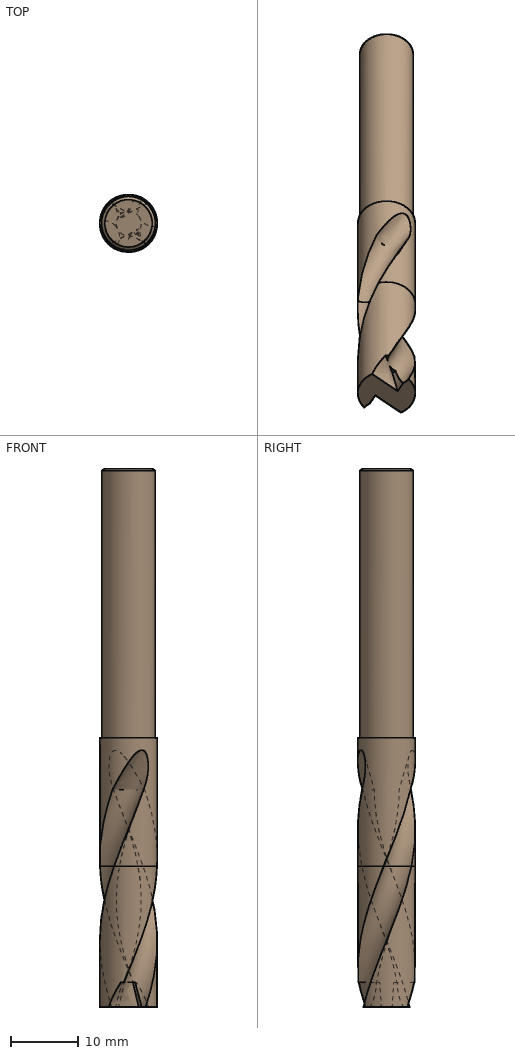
import cadquery as cq
import math

TOTAL_LENGTH = 80.0
SHANK_DIAMETER = 8.0
CUTTER_DIAMETER = 8.6
NECK_TOP = 40.0
HEAD_LENGTH = 21.0
CHAMFER_RADIAL = 0.5
CHAMFER_HEIGHT = 0.3

FLUTE_COUNT = 2
FLUTE_RADIUS = 2.4
FLUTE_CENTRE_RADIUS = 4.2
FLUTE_LEAD = 66.4
FLUTE_TOP = 32.3
FLUTE_TOP_ANGLE = -91.0
RUNOUT_HEIGHT = 7.2
RUNOUT_SHIFT = 3.9
RUNOUT_RISE = 2.0

GASH_BOTTOM = [(-4.4, -3.8), (1.5, -0.8), (2.4, -4.3)]
GASH_TOP = [(-1.5, -4.8), (0.6, -1.0), (3.4, -5.1)]
GASH_HEIGHT = 3.7

FLUTE_TWIST = 360.0 * FLUTE_TOP / FLUTE_LEAD


def cylinder(diameter, bottom, top):
    return cq.Workplane("XY").workplane(offset=bottom).circle(diameter / 2).extrude(top - bottom)


def polar(radius, angle):
    return (radius * math.cos(math.radians(angle)), radius * math.sin(math.radians(angle)))


def helical_flute():
    start = polar(FLUTE_CENTRE_RADIUS, FLUTE_TOP_ANGLE - FLUTE_TWIST)
    section = cq.Workplane("XY").moveTo(*start).circle(FLUTE_RADIUS)
    return section.twistExtrude(FLUTE_TOP, FLUTE_TWIST)


def flute_runout():
    """Straight continuation of the flute, leaning the way the helix turns and rising out of the body."""
    start_x, start_y = polar(FLUTE_CENTRE_RADIUS, FLUTE_TOP_ANGLE)
    tangent_x, tangent_y = polar(RUNOUT_SHIFT, FLUTE_TOP_ANGLE + 90)
    outward_x, outward_y = polar(RUNOUT_RISE, FLUTE_TOP_ANGLE)
    return (
        cq.Workplane("XY").workplane(offset=FLUTE_TOP)
        .moveTo(start_x, start_y).circle(FLUTE_RADIUS)
        .workplane(offset=RUNOUT_HEIGHT)
        .moveTo(start_x + tangent_x + outward_x, start_y + tangent_y + outward_y)
        .circle(FLUTE_RADIUS)
        .loft(ruled=True)
    )


def end_gash():
    """Notch with a twisted floor that deepens the flute beside a cutting edge."""
    return (
        cq.Workplane("XY").polyline(GASH_BOTTOM).close()
        .workplane(offset=GASH_HEIGHT).polyline(GASH_TOP).close()
        .loft(ruled=True)
    )


def cut_around(body, cutter):
    """Cut equally spaced copies of a cutter out of a body."""
    for index in range(FLUTE_COUNT):
        body = body.cut(cutter.rotate((0, 0, 0), (0, 0, 1), index * 360.0 / FLUTE_COUNT))
    return body


def make_cutting_head():
    head = cylinder(CUTTER_DIAMETER, 0, HEAD_LENGTH)
    head = cut_around(head, helical_flute())
    return cut_around(head, end_gash())


def make_shank():
    neck = cylinder(CUTTER_DIAMETER, HEAD_LENGTH, NECK_TOP)
    neck = cut_around(neck, helical_flute())
    neck = cut_around(neck, flute_runout())
    handle = cylinder(SHANK_DIAMETER, NECK_TOP, TOTAL_LENGTH)
    handle = handle.faces(">Z").edges().chamfer(CHAMFER_HEIGHT, CHAMFER_RADIAL)
    return neck.union(handle)


cutting_head = make_cutting_head()
shank = make_shank()

result = cq.Compound.makeCompound([cutting_head.val(), shank.val()])